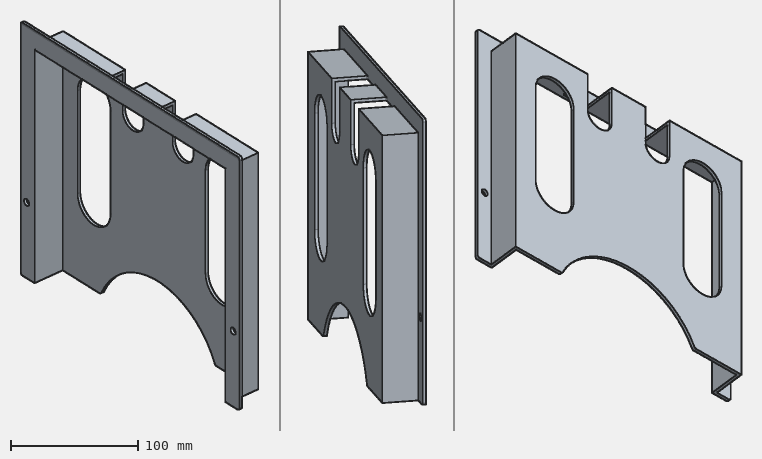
import cadquery as cq
import math

width = 265.0
depth = 32.0
height = 235.0
sheet = 3.0

side_flange = 14.3
top_flange = 15.0
bevel_width = 1.3
bevel_depth = 0.3
corner_radius = 2.0

tray_width = width - 2 * side_flange
tray_height = height - top_flange

slot_width = 39.8
slot_length = 135.5
slot_offset = 77.5
slot_center_z = 128.0

notch_width = 25.2
notch_offset = 30.2
notch_bottom_z = 170.7
notch_corner_radius = 1.0

arch_radius = 75.8
arch_top_z = 45.0
arch_corner_radius = 2.6

hole_diameter = 6.0
hole_offset = 125.0
hole_z = 70.5


def block(size_x, y_start, y_end, z_start, z_end):
    """Box centred on X, spanning the given Y and Z ranges."""
    return cq.Workplane("XY").box(
        size_x, y_end - y_start, z_end - z_start, centered=(True, False, False)
    ).translate((0, y_start, z_start))


def front_sketch(y_start):
    """Workplane facing +Y whose local axes are -X and Z."""
    return cq.Workplane("XZ", origin=(0, y_start, 0)).transformed(rotate=(0, 180, 0))


def make_flange():
    """Plate with four rounded corners and a front bevel along the top and both sides."""
    rounded = block(width, 0, sheet, 0, height).edges("|Y").fillet(corner_radius)
    overhang = 2 * corner_radius
    plate = block(width, bevel_depth, sheet, -overhang, height).edges("|Y").fillet(corner_radius)
    bevel_angle = math.degrees(math.atan(bevel_width / bevel_depth))
    bevel = plate.faces("<Y").wires().toPending().workplane().extrude(bevel_depth, taper=bevel_angle)
    return bevel.intersect(rounded)


def make_tray():
    tray = block(tray_width, 0, depth, 0, tray_height)
    cavity = block(tray_width - 2 * sheet, 0, depth - sheet, 0, tray_height - sheet)
    return make_flange().union(tray).cut(cavity)


def make_slots():
    return (
        front_sketch(0)
        .pushPoints([(-slot_offset, slot_center_z), (slot_offset, slot_center_z)])
        .slot2D(slot_length, slot_width, 90)
        .extrude(depth)
    )


def make_notch(x):
    """Notch through the floor and top wall, stopping behind the flange."""
    radius = notch_width / 2
    center_z = notch_bottom_z + radius
    opening = block(notch_width, sheet, depth, center_z, tray_height)
    opening = opening.faces("<Y").edges("|Z").fillet(notch_corner_radius)
    round_end = front_sketch(sheet).center(0, center_z).circle(radius).extrude(depth - sheet)
    return opening.union(round_end).translate((x, 0, 0))


def make_holes():
    return (
        front_sketch(0)
        .pushPoints([(-hole_offset, hole_z), (hole_offset, hole_z)])
        .circle(hole_diameter / 2)
        .extrude(sheet)
    )


def cut_arch(body):
    arch = front_sketch(0).center(0, arch_top_z - arch_radius).circle(arch_radius).extrude(depth)
    body = body.cut(arch)
    half_span = (arch_radius**2 - (arch_radius - arch_top_z) ** 2) ** 0.5
    margin = 0.3
    corners = cq.selectors.BoxSelector(
        (-half_span - margin, 0, -margin), (half_span + margin, depth, margin)
    )
    return body.edges("|Y").edges(corners).fillet(arch_corner_radius)


result = cut_arch(make_tray())
result = result.cut(make_slots()).cut(make_holes())
for notch_x in (-notch_offset, notch_offset):
    result = result.cut(make_notch(notch_x))